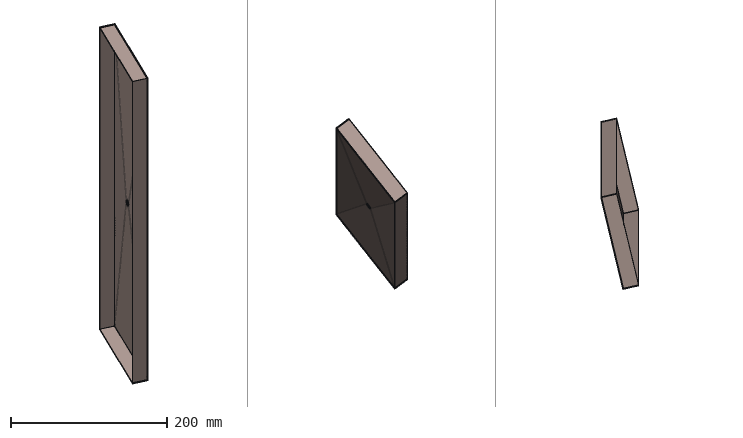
import cadquery as cq

width = 124.0
depth = 21.0
height = 484.0
wall = 1.0

edge_floor = 1.0
drain_floor = 6.0

rim_side = 10.0
hole_diameter = 7.7

inner_width = width - 2 * wall
inner_height = height - 2 * wall
back = depth / 2
edge_level = back - edge_floor
rise = drain_floor - edge_floor


def front_plane(y):
    """Plane at the given Y whose normal points to the open side, -Y."""
    return cq.Workplane("XZ", origin=(0, y, 0))


def block(size_x, size_z, y_back, y_front):
    """Centred rectangular block between two Y levels."""
    return front_plane(y_back).rect(size_x, size_z).extrude(y_back - y_front)


def raised_facets(foot):
    """Low pyramid as wide as the tray, rising from the given Y level to the flat drain rim."""
    return (
        front_plane(foot)
        .rect(width, height)
        .workplane(offset=rise)
        .rect(rim_side, rim_side)
        .loft(ruled=True)
    )


tray = block(width, height, back, -back)
tray = tray.cut(block(inner_width, inner_height, edge_level, -back))

tray = tray.union(raised_facets(edge_level))
tray = tray.cut(raised_facets(back))

hole = front_plane(back).circle(hole_diameter / 2).extrude(depth)
result = tray.cut(hole)